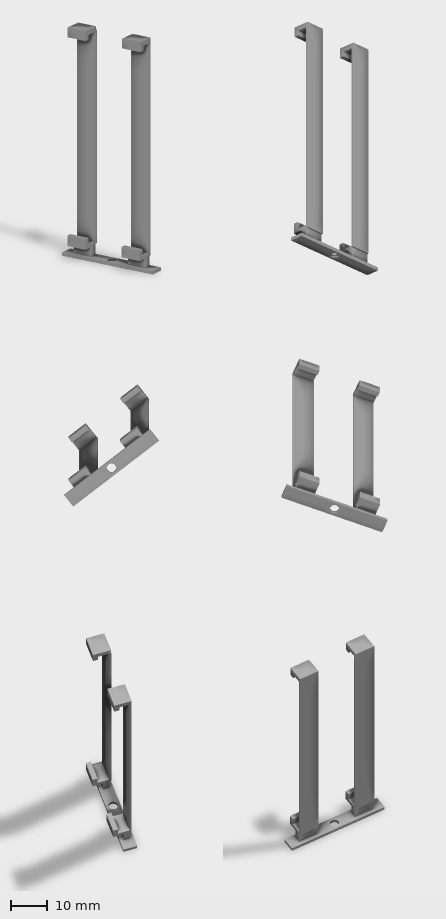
import cadquery as cq

overall_length = 29.69
overall_depth = 5.93
overall_height = 66.73

upright_width = overall_length / 5
upright_spacing = 3 * upright_width
base_depth = 4.0
base_thickness = 1.0
hole_diameter = 2.53

stem_inset = 1.05
stem_depth = 1.85
clip_arm_bottom = 3.85
clip_arm_thickness = 1.05
clip_lip_top = 6.9
lip_depth = 1.45

strap_inset = 0.6
strap_thickness = 0.6
hook_thickness = 1.45
hook_drop = 2.85
left_hook_front = 0.1
right_hook_front = 0.3

left_strap_bottom = 4.4
right_strap_bottom = 4.05
strap_top = 65.75
left_strap_overhang = 0.2

stem_back = overall_depth - stem_inset
stem_front = stem_back - stem_depth
strap_back = overall_depth - strap_inset


def box(x_range, y_range, z_range):
    """Axis-aligned block between pairs of limits."""
    corner = (x_range[0], y_range[0], z_range[0])
    size = [limits[1] - limits[0] for limits in (x_range, y_range, z_range)]
    return cq.Workplane("XY").box(*size, centered=False).translate(corner)


def make_base():
    half_length = overall_length / 2
    y_range = (overall_depth - base_depth, overall_depth)
    bar = box((-half_length, half_length), y_range, (0, base_thickness))
    hole = (
        cq.Workplane("XY")
        .center(0, overall_depth - base_depth / 2)
        .circle(hole_diameter / 2)
        .extrude(base_thickness)
    )
    return bar.cut(hole)


def make_clip(x_range):
    """Stem, forward arm and upturned lip that hold the lower edge."""
    arm_top = clip_arm_bottom + clip_arm_thickness
    stem = box(x_range, (stem_front, stem_back), (base_thickness, arm_top))
    arm = box(x_range, (0, stem_back), (clip_arm_bottom, arm_top))
    lip = box(x_range, (0, lip_depth), (clip_arm_bottom, clip_lip_top))
    return stem.union(arm).union(lip)


def make_hook(x_range, front):
    """Forward arm and downturned lip that hold the upper edge."""
    arm = box(x_range, (front, strap_back), (overall_height - hook_thickness, overall_height))
    lip = box(x_range, (front, front + lip_depth), (overall_height - hook_drop, overall_height))
    return arm.union(lip)


def make_upright(x_center, strap_bottom, strap_overhang, hook_front):
    """Clip and hook joined by a thin strap."""
    left = x_center - upright_width / 2
    right = x_center + upright_width / 2
    strap = box(
        (left, right + strap_overhang),
        (strap_back - strap_thickness, strap_back),
        (strap_bottom, strap_top),
    )
    clip = make_clip((left, right))
    hook = make_hook((left, right), hook_front)
    return strap.union(clip).union(hook)


left_upright = make_upright(-upright_spacing / 2, left_strap_bottom, left_strap_overhang, left_hook_front)
right_upright = make_upright(upright_spacing / 2, right_strap_bottom, 0, right_hook_front)

result = make_base().union(left_upright).union(right_upright)